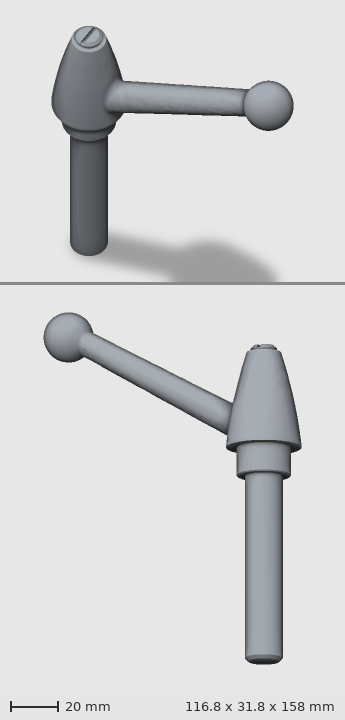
import cadquery as cq
import math

stud_radius = 16.0 / 2
stud_chamfer = 1.5
collar_radius = 11.5
collar_bottom = 79.8
collar_chamfer = 0.5

hub_bottom = 92.1
hub_radius = 31.8 / 2
hub_rim_height = 1.0
hub_mid_height = 116.6
hub_mid_radius = 11.8
hub_top = 133.2
hub_top_radius = 7.3
hub_top_fillet = 0.5

screw_top = 135.9
screw_radius = 11.2 / 2
screw_neck_radius = 5.4
screw_chamfer = 1.3
screw_land = 0.3
screw_embed = 1.6
slot_width = 1.6
slot_depth = 1.6

total_height = 158
total_length = 116.8
ball_radius = 10.6
ball_x = total_length - hub_radius - ball_radius
ball_z = total_height - ball_radius
arm_angle = 30
arm_rise = 1.3
arm_root_width = 14.5
arm_root_thickness = 13.7
arm_tip_width = 12.3
arm_tip_thickness = 10.5
root_fillet = 1.9
ball_fillet = 1.3
edge_clearance = 0.6


def make_stud():
    stud = cq.Workplane("XY").circle(stud_radius).extrude(hub_bottom)
    stud = stud.faces("<Z").chamfer(stud_chamfer)
    collar = (
        cq.Workplane("XY", origin=(0, 0, collar_bottom))
        .circle(collar_radius)
        .extrude(hub_bottom - collar_bottom)
        .faces("<Z")
        .chamfer(collar_chamfer)
    )
    return stud.union(collar)


def make_hub():
    return (
        cq.Workplane("XZ")
        .moveTo(0, hub_bottom)
        .lineTo(hub_radius, hub_bottom)
        .lineTo(hub_radius, hub_bottom + hub_rim_height)
        .threePointArc((hub_mid_radius, hub_mid_height), (hub_top_radius, hub_top))
        .lineTo(0, hub_top)
        .close()
        .revolve(360, (0, 0, 0), (0, 1, 0))
        .edges(">Z")
        .fillet(hub_top_fillet)
    )


def make_arm():
    """Tapered oval arm running from inside the hub to inside the ball."""
    slope = math.radians(arm_angle)
    length = ball_x / math.cos(slope)
    root_point = (0, 0, ball_z - ball_x * math.tan(slope) + arm_rise)
    direction = (math.cos(slope), 0, math.sin(slope))
    section_plane = cq.Plane(origin=root_point, xDir=(0, 1, 0), normal=direction)
    return (
        cq.Workplane(section_plane)
        .ellipse(arm_root_width / 2, arm_root_thickness / 2)
        .workplane(offset=length)
        .ellipse(arm_tip_width / 2, arm_tip_thickness / 2)
        .loft(ruled=True)
    )


def make_screw_head():
    """Head with a slightly narrower neck and a slot along Y."""
    land_top = screw_top - screw_chamfer
    land_bottom = land_top - screw_land
    head = (
        cq.Workplane("XZ")
        .moveTo(0, hub_top - screw_embed)
        .lineTo(screw_neck_radius, hub_top - screw_embed)
        .lineTo(screw_neck_radius, land_bottom)
        .lineTo(screw_radius, land_bottom)
        .lineTo(screw_radius, land_top)
        .lineTo(screw_radius - screw_chamfer, screw_top)
        .lineTo(0, screw_top)
        .close()
        .revolve(360, (0, 0, 0), (0, 1, 0))
    )
    slot = cq.Workplane("XY", origin=(0, 0, screw_top - slot_depth)).box(
        slot_width, 2 * screw_radius, slot_depth, centered=(True, True, False)
    )
    return head.cut(slot)


def edges_within(low_x, high_x, low_z, high_z):
    """Selector for edges lying entirely inside an X and Z range."""
    low_corner = (low_x, -hub_radius, low_z)
    high_corner = (high_x, hub_radius, high_z)
    return cq.selectors.BoxSelector(low_corner, high_corner, boundingbox=True)


def make_handle():
    """Hub, arm and ball, with both ends of the arm blended."""
    rim_top = hub_bottom + hub_rim_height
    root_joint = edges_within(edge_clearance, hub_radius, rim_top + edge_clearance, hub_top)
    tip_joint = edges_within(ball_x - ball_radius, ball_x, hub_top, total_height)
    ball = cq.Workplane("XY").sphere(ball_radius).translate((ball_x, 0, ball_z))
    hub_and_arm = make_hub().union(make_arm()).edges(root_joint).fillet(root_fillet)
    return hub_and_arm.union(ball).edges(tip_joint).fillet(ball_fillet)


result = make_handle().union(make_stud()).union(make_screw_head())